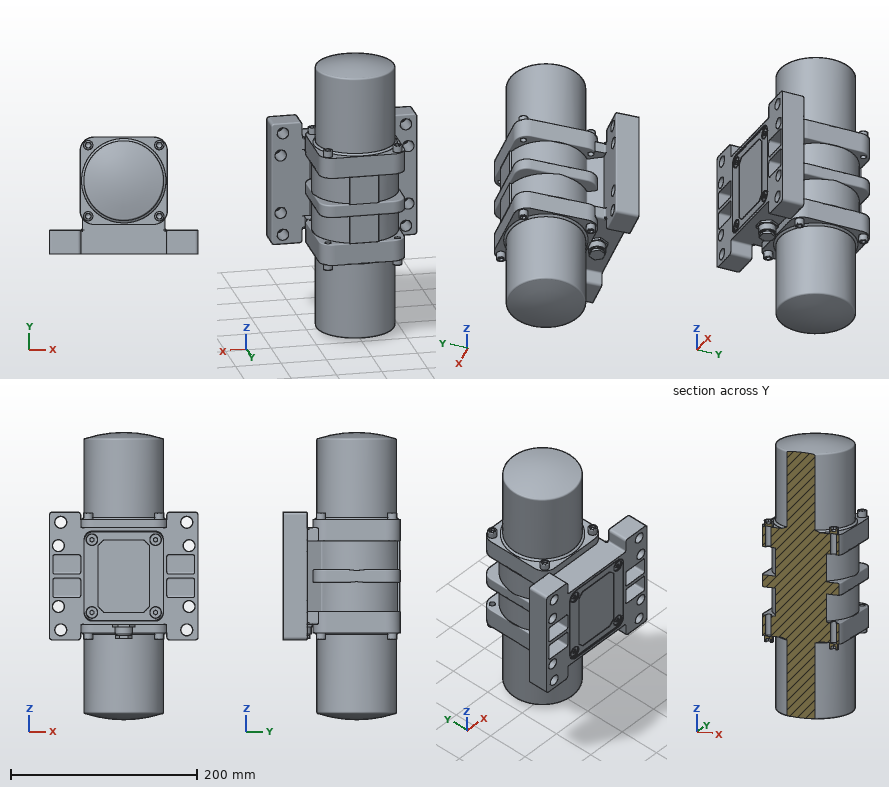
import cadquery as cq
import math


BASE_WIDTH = 160.0
BASE_HEIGHT = 137.5
BASE_FRONT_Y = -79.0
BASE_THICKNESS = 26.0
BASE_BACK_Y = BASE_FRONT_Y + BASE_THICKNESS
NOTCH_HALF_WIDTH = 46.2
NOTCH_FLOOR_Z = 52.0
EAR_CORNER_RADIUS = 3.3
NOTCH_CORNER_RADIUS = 2.0
BASE_BACK_EDGE_RADIUS = 1.5

MOUNT_HOLE_DIAMETER = 12.5
OUTER_HOLE_X, OUTER_HOLE_Z = 67.7, 57.8
INNER_HOLE_X, INNER_HOLE_Z = 70.2, 32.7

POCKET_OUTER_X = 76.3
POCKET_INNER_X = NOTCH_HALF_WIDTH
POCKET_NEAR_Z = 2.2
POCKET_FAR_Z = 23.0
POCKET_DEPTH = 22.0
POCKET_SIDE_RADIUS = 2.2
POCKET_FLOOR_RADIUS = 2.0

RECESS_WIDTH = 85.2
RECESS_HEIGHT = 97.0
RECESS_DEPTH = 2.0
RECESS_CORNER_RADIUS = 9.5
COVER_HEIGHT = 95.0
COVER_SETBACK = 0.5
PANEL_WIDTH = 55.2
PANEL_HEIGHT = 77.8
PANEL_CORNER_CUT = 6.0
PANEL_DEPTH = 0.5
COVER_SCREW_X, COVER_SCREW_Z = 34.2, 39.1
COVER_COUNTERBORE_DIAMETER = 12.5
COVER_COUNTERBORE_DEPTH = 1.5
COVER_SCREW_HEAD_DIAMETER = 12.0
COVER_SCREW_HEAD_HEIGHT = 1.0
COVER_SOCKET_CORNERS = 4.92
COVER_SOCKET_DEPTH = 1.5

BODY_RADIUS = 46.9
FLANGE_SIZE = 94.0
FLANGE_CORNER_RADIUS = 15.0
FLANGE_INNER_Z = 37.8
FLANGE_OUTER_Z = 61.0
FLANGE_EDGE_RADIUS = 1.0
RIB_THICKNESS = 14.0
RIB_EDGE_RADIUS = 1.5
PAD_WIDTH = 32.0
PAD_BACK_Y = 46.4

SHOULDER_WIDTH = 89.0
SHOULDER_BACK_Y = -41.0
SHOULDER_EDGE_RADIUS = 2.0
SHOULDER_ROOT_RADIUS = NOTCH_HALF_WIDTH - SHOULDER_WIDTH / 2
NECK_START_X, NECK_START_Y = 27.8, -35.7
NECK_WALL_ANGLE = 30.0
NECK_FILLET_RADIUS = 1.5
NECK_CORNER_REACH = 4.0

TUBE_RADIUS = 42.9
TUBE_EDGE_RADIUS = 2.0
TUBE_END_Z = 148.0
DOME_APEX_Z = 154.5
COLLAR_RADIUS = 45.4
COLLAR_HEIGHT = 2.0

BOLT_OFFSET = 38.2
BOLT_HEAD_DIAMETER = 10.0
BOLT_HEAD_HEIGHT = 6.9
BOLT_HEAD_EDGE_RADIUS = 0.8
BOLT_SOCKET_FLATS = 6.0
BOLT_SOCKET_DEPTH = 3.0
BOLT_SOCKET_CONE_DEPTH = 1.7
BOLT_HOLE_DIAMETER = 6.5

GLAND_Y = -58.0
GLAND_NUT_CORNERS = 24.0
GLAND_NUT_END_Z = -54.7
GLAND_BODY_DIAMETER = 18.8
GLAND_BODY_END_Z = -62.3
GLAND_NECK_DIAMETER = 15.6
GLAND_NECK_END_Z = -64.0
GLAND_TIP_CORNERS = GLAND_NECK_DIAMETER / math.cos(math.pi / 6)
GLAND_TIP_END_Z = -67.0
GLAND_ROOT_Z = -NOTCH_FLOOR_Z + 2.0


def block(x_range, y_range, z_range):
    """Box between two limits on each axis."""
    size = [limits[1] - limits[0] for limits in (x_range, y_range, z_range)]
    corner = (x_range[0], y_range[0], z_range[0])
    return cq.Workplane("XY").box(*size, centered=False).translate(corner)


def front_plane(y):
    """XZ sketch plane at depth y; extruding by a negative length goes into the part (+Y)."""
    return cq.Workplane("XZ", origin=(0, y, 0))


def four_corners(x, second):
    return [(i * x, j * second) for i in (-1, 1) for j in (-1, 1)]


def both_ends(upper):
    """The upper-half shape together with its mirror image in the XY plane."""
    return upper.union(upper.mirror("XY"))


def make_base():
    base = front_plane(BASE_FRONT_Y).rect(BASE_WIDTH, BASE_HEIGHT).extrude(-BASE_THICKNESS)
    for z_range in ((NOTCH_FLOOR_Z, BASE_HEIGHT), (-BASE_HEIGHT, -NOTCH_FLOOR_Z)):
        notch = block((-NOTCH_HALF_WIDTH, NOTCH_HALF_WIDTH), (BASE_FRONT_Y, BASE_BACK_Y), z_range)
        notch = notch.edges("|Y").fillet(NOTCH_CORNER_RADIUS)
        base = base.cut(notch)
    ear_ends = base.faces(">Z or <Z").edges("|Y")
    base = ear_ends.fillet(EAR_CORNER_RADIUS)
    return base.faces(">Y").edges().fillet(BASE_BACK_EDGE_RADIUS)


def cut_mount_holes(part):
    points = four_corners(OUTER_HOLE_X, OUTER_HOLE_Z) + four_corners(INNER_HOLE_X, INNER_HOLE_Z)
    holes = front_plane(BASE_FRONT_Y).pushPoints(points).circle(MOUNT_HOLE_DIAMETER / 2)
    return part.cut(holes.extrude(-BASE_THICKNESS))


def cut_ear_pockets(part):
    width = POCKET_OUTER_X - POCKET_INNER_X
    height = POCKET_FAR_Z - POCKET_NEAR_Z
    centers = four_corners((POCKET_OUTER_X + POCKET_INNER_X) / 2, (POCKET_FAR_Z + POCKET_NEAR_Z) / 2)
    pockets = front_plane(BASE_FRONT_Y).pushPoints(centers).rect(width, height).extrude(-POCKET_DEPTH)
    pockets = pockets.edges("|Y").fillet(POCKET_SIDE_RADIUS)
    return part.cut(pockets.faces(">Y").edges().fillet(POCKET_FLOOR_RADIUS))


def add_cover(part):
    recess = front_plane(BASE_FRONT_Y).rect(RECESS_WIDTH, RECESS_HEIGHT).extrude(-RECESS_DEPTH)
    recess = recess.edges("|Y").fillet(RECESS_CORNER_RADIUS)

    cover_y = BASE_FRONT_Y + COVER_SETBACK
    cover = front_plane(cover_y).rect(RECESS_WIDTH, COVER_HEIGHT).extrude(COVER_SETBACK - RECESS_DEPTH)
    cover = cover.edges("|Y").fillet(RECESS_CORNER_RADIUS)
    panel = front_plane(cover_y).rect(PANEL_WIDTH, PANEL_HEIGHT).extrude(-PANEL_DEPTH)
    panel = panel.edges("|Y").chamfer(PANEL_CORNER_CUT)

    points = four_corners(COVER_SCREW_X, COVER_SCREW_Z)
    seat_y = cover_y + COVER_COUNTERBORE_DEPTH
    head_y = seat_y - COVER_SCREW_HEAD_HEIGHT
    counterbores = front_plane(cover_y).pushPoints(points).circle(COVER_COUNTERBORE_DIAMETER / 2)
    heads = front_plane(seat_y).pushPoints(points).circle(COVER_SCREW_HEAD_DIAMETER / 2)

    part = part.cut(recess).union(cover.cut(panel))
    part = part.cut(counterbores.extrude(-COVER_COUNTERBORE_DEPTH))
    part = part.union(heads.extrude(COVER_SCREW_HEAD_HEIGHT))
    for point in points:
        socket = front_plane(head_y).center(*point).transformed(rotate=(0, 0, 90))
        part = part.cut(socket.polygon(6, COVER_SOCKET_CORNERS).extrude(-COVER_SOCKET_DEPTH))
    return part


def rounded_plate(bottom_z, thickness):
    plate = cq.Workplane("XY", origin=(0, 0, bottom_z)).rect(FLANGE_SIZE, FLANGE_SIZE).extrude(thickness)
    return plate.edges("|Z").fillet(FLANGE_CORNER_RADIUS)


def make_web():
    """Web between the flanges, widening from the cylinder to the base."""
    flare = (NECK_START_Y - BASE_BACK_Y) * math.tan(math.radians(NECK_WALL_ANGLE))
    end_x = NECK_START_X + flare
    return (
        cq.Workplane("XY", origin=(0, 0, -FLANGE_INNER_Z))
        .polyline([(-end_x, BASE_BACK_Y), (end_x, BASE_BACK_Y),
                   (NECK_START_X, NECK_START_Y), (-NECK_START_X, NECK_START_Y)])
        .close()
        .extrude(2 * FLANGE_INNER_Z)
    )


def make_body():
    """Gearbox cylinder with its rear pad and the web that flares out to the base."""
    length = 2 * FLANGE_INNER_Z
    body = cq.Workplane("XY", origin=(0, 0, -FLANGE_INNER_Z)).circle(BODY_RADIUS).extrude(length)
    z_range = (-FLANGE_INNER_Z, FLANGE_INNER_Z)
    body = body.intersect(block((-BODY_RADIUS, BODY_RADIUS), (-BODY_RADIUS, PAD_BACK_Y), z_range))
    pad = block((-PAD_WIDTH / 2, PAD_WIDTH / 2), (0, PAD_BACK_Y), z_range)
    body = body.union(pad).union(make_web())
    side_corners = cq.selectors.BoxSelector(
        (-BODY_RADIUS, NECK_START_Y - NECK_CORNER_REACH, -1),
        (BODY_RADIUS, NECK_START_Y, 1),
    )
    return body.edges("|Z").edges(side_corners).fillet(NECK_FILLET_RADIUS)


def make_plates():
    """Middle rib and the two motor flanges."""
    rib = rounded_plate(-RIB_THICKNESS / 2, RIB_THICKNESS).faces("<Z or >Z").edges().fillet(RIB_EDGE_RADIUS)
    flange = rounded_plate(FLANGE_INNER_Z, FLANGE_OUTER_Z - FLANGE_INNER_Z)
    flange = flange.faces("<Z").edges().fillet(FLANGE_EDGE_RADIUS)
    return rib.union(both_ends(flange))


def make_shoulders():
    """Square shoulder beside each flange, blended into the base at its root."""
    root_y = BASE_BACK_Y - BASE_BACK_EDGE_RADIUS
    half_width = SHOULDER_WIDTH / 2
    z_range = (FLANGE_INNER_Z, NOTCH_FLOOR_Z)
    shoulder = block((-half_width, half_width), (root_y, SHOULDER_BACK_Y), z_range)
    shoulder = shoulder.edges("(>Z and >Y) or (|Y and >Z)").fillet(SHOULDER_EDGE_RADIUS)
    for side in (-1, 1):
        root_x = side * half_width
        root_end_x = side * NOTCH_HALF_WIDTH
        root = block(sorted((root_x, root_end_x)), (BASE_BACK_Y, BASE_BACK_Y + SHOULDER_ROOT_RADIUS), z_range)
        hollow = (
            cq.Workplane("XY", origin=(root_end_x, BASE_BACK_Y + SHOULDER_ROOT_RADIUS, FLANGE_INNER_Z))
            .circle(SHOULDER_ROOT_RADIUS)
            .extrude(NOTCH_FLOOR_Z - FLANGE_INNER_Z)
        )
        shoulder = shoulder.union(root.cut(hollow))
    filler = block((-NOTCH_HALF_WIDTH, NOTCH_HALF_WIDTH), (root_y, BASE_BACK_Y), (0, NOTCH_FLOOR_Z))
    return both_ends(shoulder.union(filler))


def make_tube():
    """Upper motor tube with its collar and domed end, as one revolved profile."""
    dome_radius = TUBE_RADIUS - TUBE_EDGE_RADIUS
    rise = DOME_APEX_Z - TUBE_END_Z
    sphere_radius = (dome_radius**2 + rise**2) / (2 * rise)
    mid_x = dome_radius / 2
    mid_z = DOME_APEX_Z - sphere_radius + math.sqrt(sphere_radius**2 - mid_x**2)
    round_offset = TUBE_EDGE_RADIUS * math.sqrt(0.5)
    round_mid = (dome_radius + round_offset, TUBE_END_Z - TUBE_EDGE_RADIUS + round_offset)
    collar_top_z = FLANGE_OUTER_Z + COLLAR_HEIGHT
    profile = (
        cq.Workplane("XZ")
        .moveTo(0, FLANGE_INNER_Z)
        .lineTo(TUBE_RADIUS, FLANGE_INNER_Z)
        .lineTo(TUBE_RADIUS, FLANGE_OUTER_Z)
        .lineTo(COLLAR_RADIUS, FLANGE_OUTER_Z)
        .lineTo(TUBE_RADIUS, collar_top_z)
        .lineTo(TUBE_RADIUS, TUBE_END_Z - TUBE_EDGE_RADIUS)
        .threePointArc(round_mid, (dome_radius, TUBE_END_Z))
        .threePointArc((mid_x, mid_z), (0, DOME_APEX_Z))
        .close()
    )
    return profile.revolve(360, (0, 0, 0), (0, 1, 0))


def cut_bolt_holes(part):
    points = four_corners(BOLT_OFFSET, BOLT_OFFSET)
    holes = cq.Workplane("XY", origin=(0, 0, FLANGE_INNER_Z)).pushPoints(points)
    holes = holes.circle(BOLT_HOLE_DIAMETER / 2).extrude(FLANGE_OUTER_Z - FLANGE_INNER_Z)
    return part.cut(both_ends(holes))


def make_bolt_heads():
    seat = cq.Workplane("XY", origin=(0, 0, FLANGE_OUTER_Z))
    points = four_corners(BOLT_OFFSET, BOLT_OFFSET)
    heads = seat.pushPoints(points).circle(BOLT_HEAD_DIAMETER / 2).extrude(BOLT_HEAD_HEIGHT)
    heads = heads.faces(">Z").edges().fillet(BOLT_HEAD_EDGE_RADIUS)
    socket_corners = BOLT_SOCKET_FLATS / math.cos(math.pi / 6)
    sockets = seat.workplane(offset=BOLT_HEAD_HEIGHT).pushPoints(points).polygon(6, socket_corners)
    heads = heads.cut(sockets.extrude(-BOLT_SOCKET_DEPTH))
    cone_z = FLANGE_OUTER_Z + BOLT_HEAD_HEIGHT - BOLT_SOCKET_DEPTH
    for x, y in points:
        cone = cq.Solid.makeCone(BOLT_SOCKET_FLATS / 2, 0, BOLT_SOCKET_CONE_DEPTH,
                                 pnt=cq.Vector(x, y, cone_z), dir=cq.Vector(0, 0, -1))
        heads = heads.cut(cq.Workplane(cone))
    return both_ends(heads)


def make_gland():
    """Hexagon nut, round body, narrower neck and hexagon tip, stacked downwards."""
    def start(z):
        return cq.Workplane("XY", origin=(0, GLAND_Y, z))

    nut = start(GLAND_NUT_END_Z).polygon(6, GLAND_NUT_CORNERS).extrude(GLAND_ROOT_Z - GLAND_NUT_END_Z)
    body = start(GLAND_BODY_END_Z).circle(GLAND_BODY_DIAMETER / 2).extrude(GLAND_NUT_END_Z - GLAND_BODY_END_Z)
    neck_length = GLAND_BODY_END_Z - GLAND_NECK_END_Z
    neck = start(GLAND_NECK_END_Z).circle(GLAND_NECK_DIAMETER / 2).extrude(neck_length)
    tip = start(GLAND_TIP_END_Z).polygon(6, GLAND_TIP_CORNERS).extrude(GLAND_NECK_END_Z - GLAND_TIP_END_Z)
    return nut.union(body).union(neck).union(tip)


result = make_base().union(make_shoulders()).union(make_body()).union(make_plates())
result = cut_mount_holes(result)
result = cut_ear_pockets(result)
result = add_cover(result)
result = cut_bolt_holes(result)
result = result.union(both_ends(make_tube()))
result = result.union(make_bolt_heads()).union(make_gland())